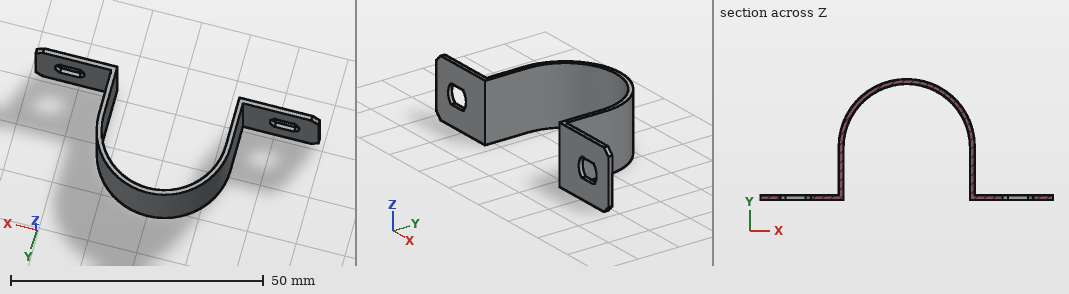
import cadquery as cq

overall_length = 58.0
overall_depth = 24.0
strap_width = 14.0
thickness = 1.0
outer_radius = 13.5
corner_chamfer = 1.5
hole_spacing = 44.0
hole_diameter = 6.0
hole_flat_height = 4.5

inner_radius = outer_radius - thickness
arch_center_y = overall_depth - outer_radius
half_length = overall_length / 2


def make_strap():
    """Bent strip: two feet, two straight legs and a half-round arch, extruded along Z."""
    return (
        cq.Workplane("XY")
        .moveTo(-half_length, 0)
        .lineTo(-inner_radius, 0)
        .lineTo(-inner_radius, arch_center_y)
        .threePointArc((0, arch_center_y + inner_radius), (inner_radius, arch_center_y))
        .lineTo(inner_radius, 0)
        .lineTo(half_length, 0)
        .lineTo(half_length, thickness)
        .lineTo(outer_radius, thickness)
        .lineTo(outer_radius, arch_center_y)
        .threePointArc((0, overall_depth), (-outer_radius, arch_center_y))
        .lineTo(-outer_radius, thickness)
        .lineTo(-half_length, thickness)
        .close()
        .extrude(strap_width / 2, both=True)
    )


def chamfer_feet(strap):
    """Cut the four free corners at the ends of the feet."""
    return strap.faces("<X or >X").edges("|Y").chamfer(corner_chamfer)


def make_hole_cutter(center_x):
    """Round hole with flats above and below, running through a foot along Y."""
    round_hole = (
        cq.Workplane("XZ")
        .center(center_x, 0)
        .circle(hole_diameter / 2)
        .extrude(thickness, both=True)
    )
    flats = cq.Workplane("XY").box(hole_diameter, 2 * thickness, hole_flat_height)
    return round_hole.intersect(flats.translate((center_x, 0, 0)))


result = chamfer_feet(make_strap())
for side in (-1, 1):
    result = result.cut(make_hole_cutter(side * hole_spacing / 2))